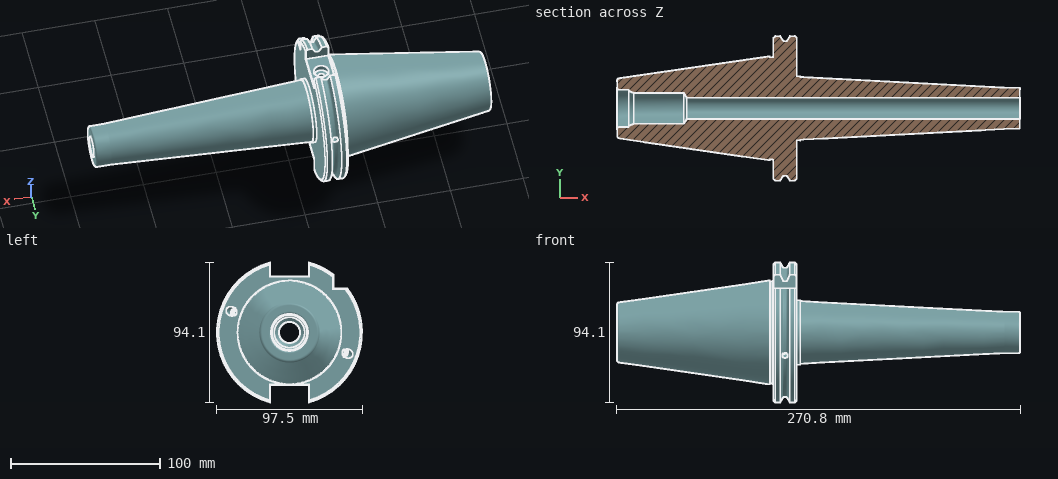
import cadquery as cq
import math


GAUGE_RADIUS = 69.85 / 2
SHANK_LENGTH = 101.75
TAPER_SLOPE = 7 / 48
SHANK_END_ROUND = 2.0
SHANK_END_RADIUS = GAUGE_RADIUS - SHANK_LENGTH * TAPER_SLOPE

RELIEF_START = 0.8
RELIEF_DEPTH = 0.5
RELIEF_RADIUS = GAUGE_RADIUS - RELIEF_DEPTH

FLANGE_RADIUS = 97.5 / 2
FLANGE_START = 3.2
FLANGE_END = 19.1
FLANGE_CHAMFER = 1.3
SLOT_EDGE_CHAMFER = 0.4
FLANGE_WIDTH = FLANGE_END - FLANGE_START
FLANGE_MIDDLE = (FLANGE_START + FLANGE_END) / 2

GROOVE_HALF_WIDTH = 3.2
GROOVE_FLOOR_RADIUS = 45.3
GROOVE_FLOOR_ROUND = 1.0
GROOVE_HALF_ANGLE = math.radians(30)
GROOVE_DEPTH = FLANGE_RADIUS - GROOVE_FLOOR_RADIUS
GROOVE_FLOOR_HALF_WIDTH = GROOVE_HALF_WIDTH - GROOVE_DEPTH * math.tan(GROOVE_HALF_ANGLE)

SLOT_WIDTH = 25.7
TOP_SLOT_FLOOR = 37.7
BOTTOM_SLOT_FLOOR = 35.3
NOTCH_WALL_Y = -29.6
NOTCH_FLOOR_Z = 29.5

NOSE_END = 169.0
NOSE_RADIUS = 14.0
NOSE_LAND = 10.6
NOSE_END_ROUND = 1.2
NOSE_HALF_ANGLE = math.radians(3)
COLLAR_LENGTH = 2.3
COLLAR_RADIUS = 21.7
NOSE_CONE_START = FLANGE_END + COLLAR_LENGTH
NOSE_CONE_END = NOSE_END - NOSE_LAND
NOSE_BASE_RADIUS = NOSE_RADIUS + (NOSE_CONE_END - NOSE_CONE_START) * math.tan(NOSE_HALF_ANGLE)

DRILL_TIP_SLOPE = 1 / math.tan(math.radians(59))

MOUTH_RADIUS = 14.0
COUNTERBORE_RADIUS = 12.5
MOUTH_ROUND = MOUTH_RADIUS - COUNTERBORE_RADIUS
COUNTERBORE_DEPTH = 8.0
THREAD_MOUTH_RADIUS = 11.7
THREAD_RADIUS = 10.2
THREAD_MOUTH_LENGTH = 3.5
THREAD_DEPTH = 45.0
BORE_RADIUS = 7.0

CHIP_HOLE_DIAMETER = 10.0
CHIP_HOLE_DEPTH = 4.6
CHIP_PILOT_DIAMETER = 4.0
CHIP_PILOT_DEPTH = 3.0

COOLANT_CIRCLE_RADIUS = 41.5
COOLANT_ANGLE = 20.0
COOLANT_TILT = math.radians(35)
COOLANT_HOLE_DIAMETER = 6.0
COOLANT_HOLE_DEPTH = 4.0
COOLANT_PILOT_DIAMETER = 4.0
COOLANT_PILOT_DEPTH = 6.0
COOLANT_RADIAL_DIAMETER = 3.6
COOLANT_OVERRUN = COOLANT_HOLE_DIAMETER / 2


def turned(points):
    """Revolve a closed (x, radius) outline about the X axis."""
    return cq.Workplane("XY").polyline(points).close().revolve(360, (0, 0, 0), (1, 0, 0))


def shank():
    body = turned([
        (-SHANK_LENGTH, 0),
        (-SHANK_LENGTH, SHANK_END_RADIUS),
        (0, GAUGE_RADIUS),
        (RELIEF_START, GAUGE_RADIUS),
        (RELIEF_START + RELIEF_DEPTH, RELIEF_RADIUS),
        (FLANGE_START - RELIEF_DEPTH, RELIEF_RADIUS),
        (FLANGE_START, GAUGE_RADIUS),
        (FLANGE_START, 0),
    ])
    return body.faces("<X").edges().fillet(SHANK_END_ROUND)


def flange_disc():
    return (
        cq.Workplane("YZ", origin=(FLANGE_START, 0, 0))
        .circle(FLANGE_RADIUS)
        .extrude(FLANGE_WIDTH)
        .edges()
        .chamfer(FLANGE_CHAMFER)
    )


def v_groove():
    ring = turned([
        (FLANGE_MIDDLE - GROOVE_HALF_WIDTH, FLANGE_RADIUS),
        (FLANGE_MIDDLE - GROOVE_FLOOR_HALF_WIDTH, GROOVE_FLOOR_RADIUS),
        (FLANGE_MIDDLE + GROOVE_FLOOR_HALF_WIDTH, GROOVE_FLOOR_RADIUS),
        (FLANGE_MIDDLE + GROOVE_HALF_WIDTH, FLANGE_RADIUS),
    ])
    floor_edges = cq.selectors.RadiusNthSelector(0)
    return ring.edges(floor_edges).fillet(GROOVE_FLOOR_ROUND)


def flange_cutter(y_range, z_range):
    """Block as wide as the flange, spanning the given Y and Z ranges."""
    y_size = y_range[1] - y_range[0]
    z_size = z_range[1] - z_range[0]
    return (
        cq.Workplane("XY")
        .box(FLANGE_WIDTH, y_size, z_size, centered=False)
        .translate((FLANGE_START, y_range[0], z_range[0]))
    )


def flange():
    slot_y = (-SLOT_WIDTH / 2, SLOT_WIDTH / 2)
    top_slot = flange_cutter(slot_y, (TOP_SLOT_FLOOR, FLANGE_RADIUS))
    bottom_slot = flange_cutter(slot_y, (-FLANGE_RADIUS, -BOTTOM_SLOT_FLOOR))
    notch = flange_cutter((-FLANGE_RADIUS, NOTCH_WALL_Y), (NOTCH_FLOOR_Z, FLANGE_RADIUS))
    slotted = flange_disc().cut(top_slot).cut(bottom_slot).cut(notch)
    slot_edges = slotted.faces("<X or >X").edges("%LINE")
    return slot_edges.chamfer(SLOT_EDGE_CHAMFER).cut(v_groove())


def nose():
    body = turned([
        (FLANGE_END, 0),
        (FLANGE_END, COLLAR_RADIUS),
        (NOSE_CONE_START, COLLAR_RADIUS),
        (NOSE_CONE_START, NOSE_BASE_RADIUS),
        (NOSE_CONE_END, NOSE_RADIUS),
        (NOSE_END, NOSE_RADIUS),
        (NOSE_END, 0),
    ])
    return body.faces(">X").edges().fillet(NOSE_END_ROUND)


def axial_bore():
    mouth = -SHANK_LENGTH
    shoulder = mouth + COUNTERBORE_DEPTH
    thread_end = mouth + THREAD_DEPTH
    bore_start = thread_end + (THREAD_RADIUS - BORE_RADIUS) * DRILL_TIP_SLOPE
    stepped = turned([
        (mouth, 0),
        (mouth, COUNTERBORE_RADIUS),
        (shoulder, COUNTERBORE_RADIUS),
        (shoulder, THREAD_MOUTH_RADIUS),
        (shoulder + THREAD_MOUTH_LENGTH, THREAD_RADIUS),
        (thread_end, THREAD_RADIUS),
        (bore_start, BORE_RADIUS),
        (NOSE_END, BORE_RADIUS),
        (NOSE_END, 0),
    ])
    rounded_mouth = (
        cq.Workplane("XY")
        .moveTo(mouth, 0)
        .lineTo(mouth, MOUTH_RADIUS)
        .radiusArc((mouth + MOUTH_ROUND, COUNTERBORE_RADIUS), -MOUTH_ROUND)
        .lineTo(mouth + MOUTH_ROUND, 0)
        .close()
        .revolve(360, (0, 0, 0), (1, 0, 0))
    )
    return stepped.union(rounded_mouth)


def stepped_hole(start, direction, diameter, depth, pilot_diameter, pilot_depth):
    """Flat-bottomed hole with a smaller pilot, ending in a drill tip, in its floor."""
    radius = diameter / 2
    pilot_radius = pilot_diameter / 2
    pilot_end = depth + pilot_depth
    profile = (
        cq.Workplane("XZ")
        .polyline([
            (0, 0),
            (radius, 0),
            (radius, depth),
            (pilot_radius, depth),
            (pilot_radius, pilot_end),
            (0, pilot_end + pilot_radius * DRILL_TIP_SLOPE),
        ])
        .close()
        .revolve(360, (0, 0, 0), (0, 1, 0))
    )
    axis_plane = cq.Plane(origin=start, normal=direction)
    return cq.Workplane(profile.val().moved(cq.Location(axis_plane)))


def chip_hole():
    return stepped_hole(
        (FLANGE_MIDDLE, 0, TOP_SLOT_FLOOR),
        (0, 0, -1),
        CHIP_HOLE_DIAMETER,
        CHIP_HOLE_DEPTH,
        CHIP_PILOT_DIAMETER,
        CHIP_PILOT_DEPTH,
    )


def coolant_passage():
    """Hole sloping inward from the flange face, met by a radial hole from the groove floor."""
    slope = (math.cos(COOLANT_TILT), -math.sin(COOLANT_TILT), 0)
    face_center = (FLANGE_START, COOLANT_CIRCLE_RADIUS, 0)
    start = tuple(place - COOLANT_OVERRUN * step for place, step in zip(face_center, slope))
    face_hole = stepped_hole(
        start,
        slope,
        COOLANT_HOLE_DIAMETER,
        COOLANT_HOLE_DEPTH + COOLANT_OVERRUN,
        COOLANT_PILOT_DIAMETER,
        COOLANT_PILOT_DEPTH,
    )
    meeting_radius = COOLANT_CIRCLE_RADIUS - (FLANGE_MIDDLE - FLANGE_START) * math.tan(COOLANT_TILT)
    radial_hole = (
        cq.Workplane("XZ", origin=(FLANGE_MIDDLE, meeting_radius, 0))
        .circle(COOLANT_RADIAL_DIAMETER / 2)
        .extrude(meeting_radius - FLANGE_RADIUS)
    )
    return face_hole.union(radial_hole)


def coolant_passages():
    passage = coolant_passage()
    first = passage.rotate((0, 0, 0), (1, 0, 0), COOLANT_ANGLE)
    return first.union(first.rotate((0, 0, 0), (1, 0, 0), 180))


result = (
    flange()
    .union(shank())
    .union(nose())
    .cut(axial_bore())
    .cut(chip_hole())
    .cut(coolant_passages())
)